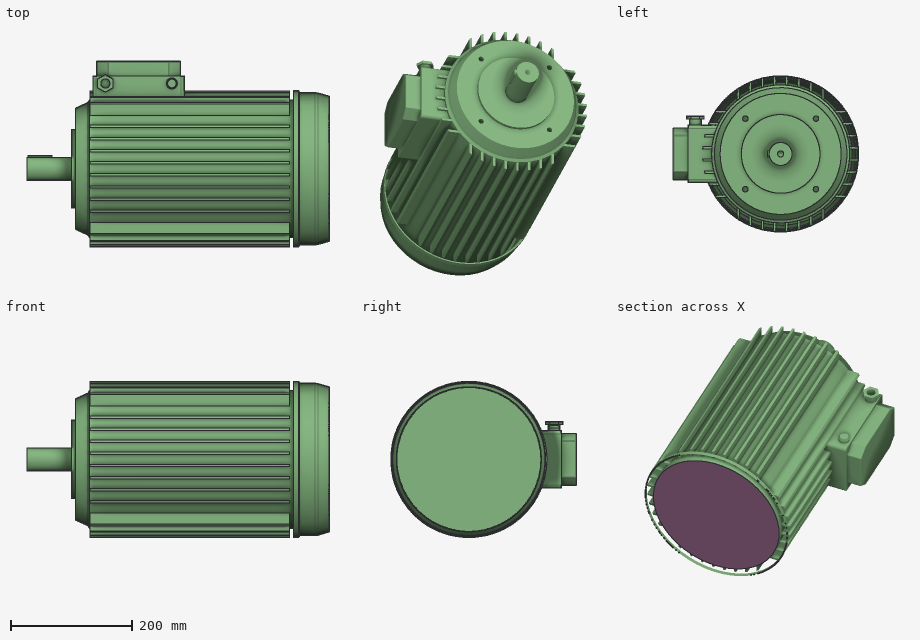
import cadquery as cq


SHAFT_RADIUS = 19.0
SHAFT_LENGTH = 80.0
KEY_WIDTH = 10.0
KEY_LENGTH = 40.0
KEY_END_GAP = 1.5
KEY_RISE = 3.0
CENTER_CONE_RADIUS = 5.0
CENTER_CONE_DEPTH = 5.0

SPIGOT_RADIUS = 65.0
SPIGOT_LENGTH = 6.0
FLANGE_FACE_RADIUS = 100.0
FLANGE_REAR_RADIUS = 109.5
FLANGE_LENGTH = 20.5
BOLT_CIRCLE_RADIUS = 82.5
BOLT_HOLE_RADIUS = 4.5
BOLT_HOLE_DEPTH = 15.0

CORE_RADIUS = 114.0
CORE_END = 363.5
CORE_BEVEL_LENGTH = 3.0
FIN_TIP_RADIUS = 129.0
FIN_START = 24.0
FIN_LENGTH = 330.0
FIN_PITCH = 20.0
FIN_THICKNESS = 4.0
FINS_PER_SIDE = 8

BOX_START = 29.0
BOX_LENGTH = 151.0
BOX_WIDTH = 95.0
BOX_BOTTOM = 100.0
BOX_TOP = 153.0
BOX_CORNER_RADIUS = 5.2
BOX_CENTER_X = BOX_START + BOX_LENGTH / 2

LID_TOP = 178.0
LID_INSET_X = 6.0
LID_INSET_Z = 4.5
LID_CORNER_X = 19.5
LID_CORNER_Z = 12.5
LID_CORNER_RADIUS = 2.0
LID_EDGE_RADIUS = 2.0

FITTING_Y = 141.0
FITTING_BASE_Z = BOX_WIDTH / 2
GLAND_X = 49.5
GLAND_NECK_RADIUS = 10.0
GLAND_NECK_LENGTH = 10.0
GLAND_HEX_FLATS = 25.0
GLAND_HEX_THICKNESS = 5.0
GLAND_BORE_RADIUS = 7.5
PLUG_X = 159.5
PLUG_RADIUS = 9.0
PLUG_RIM_HEIGHT = 4.5
PLUG_HEIGHT = 8.5
PLUG_TOP_RADIUS = 7.2

COVER_START = 360.3
COVER_END = 420.0
COVER_WALL = 2.0
COVER_RIM_RADIUS = FIN_TIP_RADIUS
COVER_RIM_END = 369.0
COVER_STEP_END = 370.5
COVER_RADIUS = 126.0
COVER_BEND_START = 396.0
COVER_BEND_END = 400.5
COVER_BEND_RADIUS = 125.4
COVER_END_RADIUS = 120.0
COVER_EDGE_BREAK = 1.0


def cylinder_x(radius, start, length):
    """Cylinder on the shaft axis, running along +X from x = start."""
    return cq.Workplane("YZ", origin=(start, 0, 0)).circle(radius).extrude(length)


def revolve_x(outline):
    """Turn a closed outline of (x, radius) points about the shaft axis."""
    return cq.Workplane("XY").polyline(outline).close().revolve(360, (0, 0, 0), (1, 0, 0))


def make_shaft():
    """Shaft end with a round-ended key on +Y and a conical centre in its end face."""
    tip = -SHAFT_LENGTH
    shaft = revolve_x([
        (tip + CENTER_CONE_DEPTH, 0),
        (tip, CENTER_CONE_RADIUS),
        (tip, SHAFT_RADIUS),
        (0, SHAFT_RADIUS),
        (0, 0),
    ])
    key_center = tip + KEY_END_GAP + KEY_LENGTH / 2
    key = (
        cq.Workplane("XZ", origin=(key_center, SHAFT_RADIUS + KEY_RISE, 0))
        .slot2D(KEY_LENGTH, KEY_WIDTH)
        .extrude(2 * KEY_RISE)
    )
    return shaft.union(key)


def make_flange():
    """Conical flange with a centring spigot and four blind bolt holes at 45 degrees to Y and Z."""
    flange = revolve_x([
        (-SPIGOT_LENGTH, 0),
        (-SPIGOT_LENGTH, SPIGOT_RADIUS),
        (0, SPIGOT_RADIUS),
        (0, FLANGE_FACE_RADIUS),
        (FLANGE_LENGTH, FLANGE_REAR_RADIUS),
        (FLANGE_LENGTH, 0),
    ])
    bolt_holes = (
        cq.Workplane("YZ")
        .polarArray(BOLT_CIRCLE_RADIUS, 45, 360, 4)
        .circle(BOLT_HOLE_RADIUS)
        .extrude(BOLT_HOLE_DEPTH)
    )
    return flange.cut(bolt_holes)


def make_core():
    """Round stator core, bevelled down to the flange at its drive end."""
    return revolve_x([
        (FLANGE_LENGTH, 0),
        (FLANGE_LENGTH, FLANGE_REAR_RADIUS),
        (FLANGE_LENGTH + CORE_BEVEL_LENGTH, CORE_RADIUS),
        (CORE_END, CORE_RADIUS),
        (CORE_END, 0),
    ])


def make_fins():
    """Parallel cooling fins in Y and in Z, all trimmed to the tip cylinder."""
    span = 2 * FIN_TIP_RADIUS
    plane = cq.Workplane("YZ", origin=(FIN_START, 0, 0))
    offsets = [(i - (FINS_PER_SIDE - 1) / 2) * FIN_PITCH for i in range(FINS_PER_SIDE)]
    level = plane.pushPoints([(0, z) for z in offsets]).rect(span, FIN_THICKNESS).extrude(FIN_LENGTH)
    upright = plane.pushPoints([(y, 0) for y in offsets]).rect(FIN_THICKNESS, span).extrude(FIN_LENGTH)
    return level.union(upright).intersect(cylinder_x(FIN_TIP_RADIUS, FIN_START, FIN_LENGTH))


def make_box():
    """Terminal box with rounded corners."""
    return (
        cq.Workplane("XZ", origin=(BOX_CENTER_X, BOX_TOP, 0))
        .rect(BOX_LENGTH, BOX_WIDTH)
        .extrude(BOX_TOP - BOX_BOTTOM)
        .edges("|Y")
        .fillet(BOX_CORNER_RADIUS)
    )


def make_lid():
    """Eight-sided lid with softened corners and a rounded top edge."""
    half_x = BOX_LENGTH / 2 - LID_INSET_X
    half_z = BOX_WIDTH / 2 - LID_INSET_Z
    flat_x = half_x - LID_CORNER_X
    flat_z = half_z - LID_CORNER_Z
    outline = [
        (-half_x, -flat_z),
        (-flat_x, -half_z),
        (flat_x, -half_z),
        (half_x, -flat_z),
        (half_x, flat_z),
        (flat_x, half_z),
        (-flat_x, half_z),
        (-half_x, flat_z),
    ]
    return (
        cq.Workplane("XZ", origin=(BOX_CENTER_X, LID_TOP, 0))
        .polyline(outline)
        .close()
        .extrude(LID_TOP - BOX_TOP)
        .edges("|Y")
        .fillet(LID_CORNER_RADIUS)
        .faces(">Y")
        .edges()
        .fillet(LID_EDGE_RADIUS)
    )


def make_gland():
    """Round neck under a hexagon nut, bored through down to the box."""
    base = cq.Workplane("XY", origin=(GLAND_X, FITTING_Y, FITTING_BASE_Z))
    neck = base.circle(GLAND_NECK_RADIUS).extrude(GLAND_NECK_LENGTH)
    nut = (
        base.workplane(offset=GLAND_NECK_LENGTH)
        .polygon(6, GLAND_HEX_FLATS, circumscribed=True)
        .extrude(GLAND_HEX_THICKNESS)
    )
    bore = base.circle(GLAND_BORE_RADIUS).extrude(GLAND_NECK_LENGTH + GLAND_HEX_THICKNESS)
    return neck.union(nut).cut(bore)


def make_plug():
    """Low round plug with a tapered upper part."""
    base = cq.Workplane("XY", origin=(PLUG_X, FITTING_Y, FITTING_BASE_Z))
    rim = base.circle(PLUG_RADIUS).extrude(PLUG_RIM_HEIGHT)
    taper = (
        base.workplane(offset=PLUG_RIM_HEIGHT)
        .circle(PLUG_RADIUS)
        .workplane(offset=PLUG_HEIGHT - PLUG_RIM_HEIGHT)
        .circle(PLUG_TOP_RADIUS)
        .loft()
    )
    return rim.union(taper)


def make_drive_end():
    """Body 1: mounting flange with the shaft end."""
    return make_flange().union(make_shaft())


def make_stator():
    """Body 2: finned stator carrying the terminal box and its fittings."""
    stator = make_core()
    for feature in (make_fins(), make_box(), make_lid(), make_gland(), make_plug()):
        stator = stator.union(feature)
    return stator


def make_fan_cover():
    """Body 3: thin-walled cover, open towards the fins, around a hub that continues the core."""
    inner_end = COVER_END - COVER_WALL
    return revolve_x([
        (CORE_END, 0),
        (CORE_END, CORE_RADIUS),
        (inner_end, CORE_RADIUS),
        (inner_end, COVER_END_RADIUS - COVER_WALL),
        (COVER_BEND_END, COVER_BEND_RADIUS - COVER_WALL),
        (COVER_BEND_START, COVER_RADIUS - COVER_WALL),
        (COVER_STEP_END, COVER_RADIUS - COVER_WALL),
        (COVER_RIM_END, COVER_RIM_RADIUS - COVER_WALL),
        (COVER_START, COVER_RIM_RADIUS - COVER_WALL),
        (COVER_START, COVER_RIM_RADIUS),
        (COVER_RIM_END, COVER_RIM_RADIUS),
        (COVER_STEP_END, COVER_RADIUS),
        (COVER_BEND_START, COVER_RADIUS),
        (COVER_BEND_END, COVER_BEND_RADIUS),
        (COVER_END - COVER_EDGE_BREAK, COVER_END_RADIUS),
        (COVER_END, COVER_END_RADIUS - COVER_EDGE_BREAK),
        (COVER_END, 0),
    ])


drive_end = make_drive_end()
stator = make_stator()
fan_cover = make_fan_cover()
result = cq.Compound.makeCompound([drive_end.val(), stator.val(), fan_cover.val()])